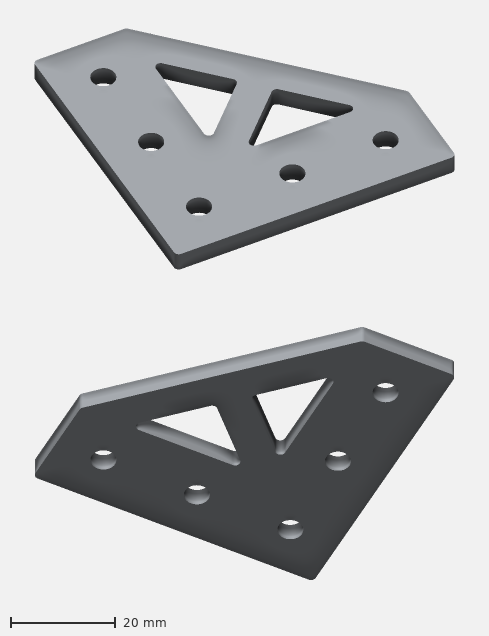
import cadquery as cq
import math

side = 60.0
thickness = 4.0
corner_radius = 1.0

pitch = side / 3
hole_diameter = 5.0
edge_distance = pitch / 2

strut_width = 7.0
window_radius = 1.0
window_base = pitch
window_offset = pitch / 2
strut_side_sum = side - strut_width / math.sqrt(2)


def prism(points, radius):
    """Extrude a closed outline through the thickness and round its corners."""
    return (
        cq.Workplane("XY")
        .polyline(points)
        .close()
        .extrude(thickness)
        .edges("|Z")
        .fillet(radius)
    )


def mirrored(point):
    """Reflect a point across the diagonal x + y = side."""
    x, y = point
    return (side - y, side - x)


plate = prism(
    [(0, 0), (side, 0), (side, side), (side - pitch, side), (0, pitch)],
    corner_radius,
)

lower_window = [
    (window_base - window_offset, window_base),
    (strut_side_sum - window_base, window_base),
    ((strut_side_sum - window_offset) / 2, (strut_side_sum + window_offset) / 2),
]
upper_window = [mirrored(point) for point in lower_window]
for window in (lower_window, upper_window):
    plate = plate.cut(prism(window, window_radius))

bottom_row = [(edge_distance + i * pitch, edge_distance) for i in range(3)]
right_column = [(side - edge_distance, edge_distance + i * pitch) for i in range(1, 3)]

result = (
    plate.faces(">Z")
    .workplane(origin=(0, 0, thickness))
    .pushPoints(bottom_row + right_column)
    .hole(hole_diameter)
)